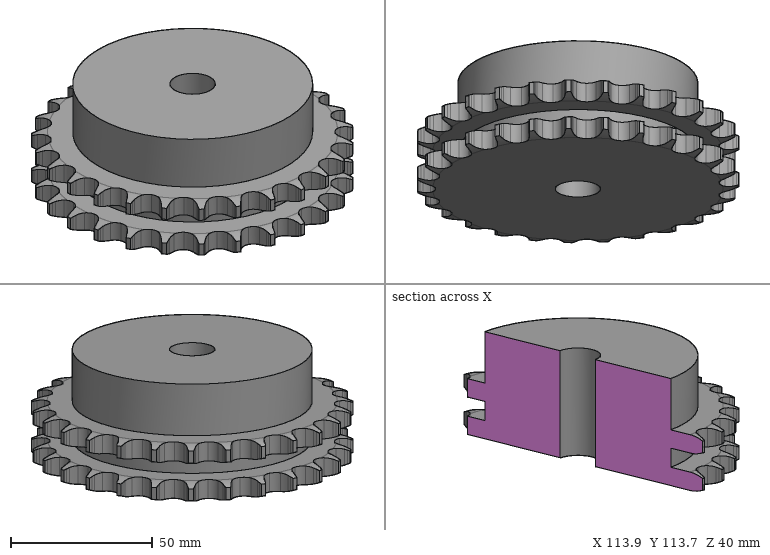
import cadquery as cq
import math


tooth_count = 27
chain_pitch = 12.7
roller_diameter = 8.51
row_spacing = 13.92
row_count = 2

outer_diameter = 114.0
row_width = 7.0
hub_diameter = 85.0
overall_height = 40.0
bore_diameter = 16.0

side_radius = 13.0
side_relief = 1.3

tooth_step = 360.0 / tooth_count
first_gap_angle = -90.0 + tooth_step / 2

outer_radius = outer_diameter / 2
pitch_radius = chain_pitch / 2 / math.sin(math.pi / tooth_count)

seating_clearance = 0.038
seating_radius = 0.5025 * roller_diameter + seating_clearance
working_radius = 1.3025 * roller_diameter
working_center_distance = 0.8 * roller_diameter
tip_center_distance = 1.4 * roller_diameter

seating_angle = 35.0 + 60.0 / tooth_count
working_sweep = 18.0 - 56.0 / tooth_count
tip_angle = 17.0 - 64.0 / tooth_count

straight_length = (
    tip_center_distance * math.sin(math.radians(tip_angle))
    - working_center_distance * math.sin(math.radians(working_sweep))
)
tip_radius = (
    tip_center_distance * math.cos(math.radians(tip_angle))
    + working_center_distance * math.cos(math.radians(working_sweep))
    - working_radius
)
straight_angle = seating_angle - working_sweep
tip_sweep = 14.0


def polar(center, radius, angle):
    """Point at a radius and an angle in degrees around a center."""
    return (
        center[0] + radius * math.cos(math.radians(angle)),
        center[1] + radius * math.sin(math.radians(angle)),
    )


def gap_cutter():
    """Prism filling one tooth gap centered on +X, tall enough for every row."""
    roller_center = (pitch_radius, 0)
    root = (pitch_radius - seating_radius, 0)

    seating_end_angle = 90 + seating_angle
    seating_mid = polar(roller_center, seating_radius, (180 + seating_end_angle) / 2)
    seating_end = polar(roller_center, seating_radius, seating_end_angle)

    straight_normal = 90 + straight_angle
    working_center = polar(seating_end, -working_radius, seating_end_angle)
    working_mid = polar(working_center, working_radius, (seating_end_angle + straight_normal) / 2)
    working_end = polar(working_center, working_radius, straight_normal)

    straight_end = polar(working_end, straight_length, straight_angle)

    tip_center = polar(straight_end, tip_radius, straight_normal)
    tip_start_angle = straight_normal - 180
    tip_mid = polar(tip_center, tip_radius, tip_start_angle + tip_sweep / 2)
    tip_end = polar(tip_center, tip_radius, tip_start_angle + tip_sweep)

    def mirrored(point):
        return (point[0], -point[1])

    return (
        cq.Workplane("XY")
        .moveTo(*root)
        .threePointArc(seating_mid, seating_end)
        .threePointArc(working_mid, working_end)
        .lineTo(*straight_end)
        .threePointArc(tip_mid, tip_end)
        .lineTo(*mirrored(tip_end))
        .threePointArc(mirrored(tip_mid), mirrored(straight_end))
        .lineTo(*mirrored(working_end))
        .threePointArc(mirrored(working_mid), mirrored(seating_end))
        .threePointArc(mirrored(seating_mid), root)
        .close()
        .extrude(overall_height, clean=False)
    )


def row_disc(base_z):
    """Disc of one tooth row, with both sides rounded down towards the tips."""
    center_to_tip_edge = side_radius - side_relief
    side_start = outer_radius - math.sqrt(side_radius**2 - center_to_tip_edge**2)
    half_sweep = math.asin((outer_radius - side_start) / side_radius) / 2
    mid_radius = side_start + side_radius * math.sin(half_sweep)
    mid_drop = side_radius * (1 - math.cos(half_sweep))

    return (
        cq.Workplane("XZ")
        .moveTo(0, 0)
        .lineTo(side_start, 0)
        .threePointArc((mid_radius, mid_drop), (outer_radius, side_relief))
        .lineTo(outer_radius, row_width - side_relief)
        .threePointArc((mid_radius, row_width - mid_drop), (side_start, row_width))
        .lineTo(0, row_width)
        .close()
        .revolve(360, (0, 0), (0, 1))
        .translate((0, 0, base_z))
    )


result = cq.Workplane("XY").circle(hub_diameter / 2).extrude(overall_height)
for row in range(row_count):
    result = result.union(row_disc(row * row_spacing))

cutter = gap_cutter()
cutters = cq.Workplane("XY")
for tooth in range(tooth_count):
    gap_angle = first_gap_angle + tooth * tooth_step
    cutters = cutters.add(cutter.rotate((0, 0, 0), (0, 0, 1), gap_angle))
gaps = cq.Workplane(cq.Compound.makeCompound(cutters.vals()))
result = result.cut(gaps, clean=False)

bore = cq.Workplane("XY").circle(bore_diameter / 2).extrude(overall_height)
result = result.cut(bore, clean=False).solids()